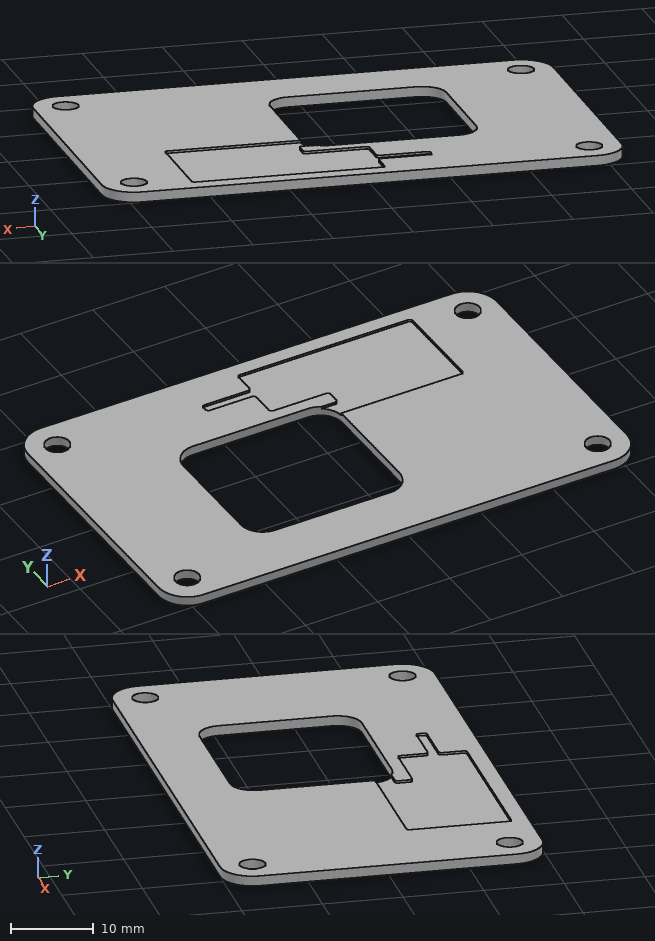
import cadquery as cq

length = 65.0
width = 40.0
thickness = 1.3
corner_radius = 4.0

hole_diameter = 3.2

window_left = -17.35
window_right = 4.6
window_bottom = -12.5
window_top = 7.6
window_radius = 3.0

pocket_depth = 0.3
pocket_radius = 0.4
pocket_left = -2.5
pocket_right = 21.65
pocket_bottom = 4.8
pocket_top = 17.8

channel_end = -9.3
channel_bottom = 13.1
channel_top = 14.4

tongue_root = -2.65
tongue_tip = 5.45
tongue_bottom = 7.15
tongue_top = 9.3


def make_plate():
    plate = cq.Workplane("XY").box(length, width, thickness, centered=(True, True, False))
    plate = plate.edges("|Z").fillet(corner_radius)
    hole_spacing_x = length - 2 * corner_radius
    hole_spacing_y = width - 2 * corner_radius
    return (
        plate.faces(">Z").workplane(origin=(0, 0, thickness))
        .rect(hole_spacing_x, hole_spacing_y, forConstruction=True)
        .vertices()
        .hole(hole_diameter)
    )


def make_window():
    window_length = window_right - window_left
    window_width = window_top - window_bottom
    return (
        cq.Workplane("XY")
        .center((window_left + window_right) / 2, (window_bottom + window_top) / 2)
        .rect(window_length, window_width)
        .extrude(thickness)
        .edges("|Z").fillet(window_radius)
    )


def make_pocket():
    closing_x = (window_left + window_right) / 2
    outline = [
        (closing_x, pocket_bottom),
        (pocket_right, pocket_bottom),
        (pocket_right, pocket_top),
        (pocket_left, pocket_top),
        (pocket_left, channel_top),
        (channel_end, channel_top),
        (channel_end, channel_bottom),
        (tongue_root, channel_bottom),
        (tongue_root, tongue_top),
        (tongue_tip, tongue_top),
        (tongue_tip, tongue_bottom),
        (closing_x, tongue_bottom),
    ]
    return (
        cq.Workplane("XY", origin=(0, 0, thickness - pocket_depth))
        .polyline(outline)
        .close()
        .extrude(pocket_depth)
        .edges("|Z").fillet(pocket_radius)
    )


result = make_plate().cut(make_window()).cut(make_pocket())